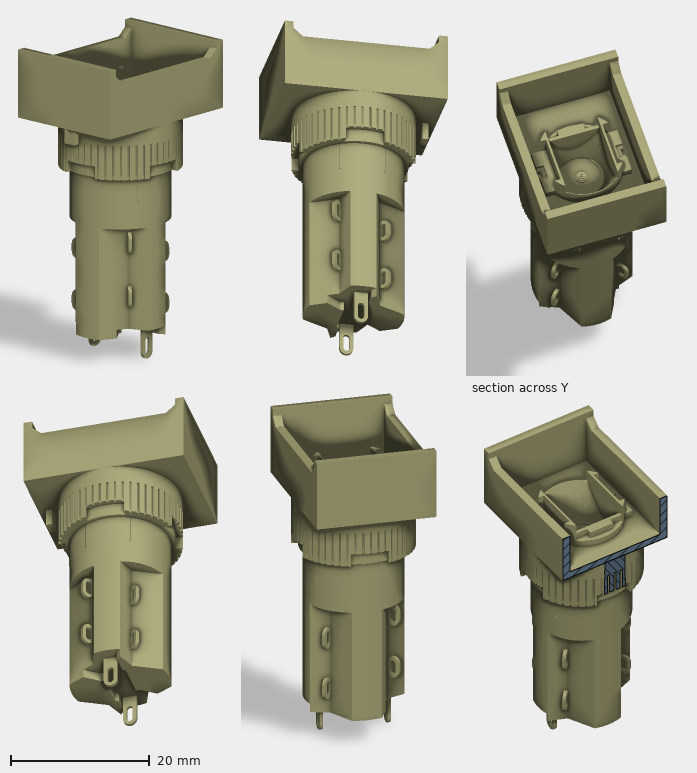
import cadquery as cq
import math

TOTAL_HEIGHT = 45.9
BASE_Z = 3.55
BASE_RECESS_Z = 4.8
BLOCK_TOP_Z = 20.25
RING_BOTTOM_Z = 28.0
RING_NOTCH_TOP_Z = 29.9
KNURL_TOP_Z = 33.15
BEZEL_BOTTOM_Z = 35.7
BEZEL_FLOOR_Z = 36.9
SIDE_WALL_TOP_Z = 43.6
SIDE_WALL_END_Z = 44.85

BEZEL_X = 18.0
BEZEL_Y = 24.0
WALL = 1.3
WALL_RAMP = 1.38
KEY_X = 1.95
KEY_Y = 0.9
KEY_CENTER_Y = -10.4

SOCKET_RADIUS = 6.2
SOCKET_TOP_Z = 39.2
SHELF_TOP_Z = 38.1
CHEEK_TOP_Z = 40.95
CHEEK_INNER_X = 3.95
CHEEK_OUTER_X = 4.25
REAR_WALL_Y = -4.0
REAR_WALL_THICKNESS = 0.5
TAB_X = 3.95
TAB_Y = 0.9
CLIP_OUTER_X = 6.5
CLIP_Y = 6.9
CLIP_MOUTH_X = 0.45
CLIP_MOUTH_Y = 1.0
CLIP_POCKET_X = 1.1
CLIP_POCKET_Y = 2.15
CLIP_POCKET_DEPTH = 0.45

REFLECTOR_TOP_RADIUS = 6.1
REFLECTOR_BOTTOM_RADIUS = 3.25
REFLECTOR_BOTTOM_Z = 33.7
LEDGE_INNER_RADIUS = 3.0
LEDGE_DEPTH = 0.25
LEDGE_GAP_X = 4.15
LAMP_TIER_RADII = (0.85, 0.7, 0.5, 0.3)
LAMP_TIER_HEIGHT = 0.25
LAMP_BORE_RADIUS = 0.15

BARREL_RADIUS = 7.35
LOBE_HALF_Y = 1.95
LOBE_HALF_X = 2.25
LOBE_EDGE_X = math.sqrt(BARREL_RADIUS**2 - LOBE_HALF_Y**2)
LOBE_EDGE_Y = math.sqrt(BARREL_RADIUS**2 - LOBE_HALF_X**2)
CORNER_X = 4.3
CORNER_Y = 3.0
SLIT_Y = 3.4
SLIT_WIDTH = 0.1
SLIT_FOOT = 0.25
SLIT_BOTTOM_Z = 23.95
SLIT_DEPTH = 0.25

CHANNEL_HALF_Y = 1.35
CHANNEL_FLARE_X = 6.43
CHANNEL_NARROW_X = 3.8
CHANNEL_WIDE_X = 3.4
CHANNEL_WIDE_HALF_Y = 1.8
POCKET_X = 1.85
POCKET_Y = 2.4
POCKET_MOUTH_X = 3.5
POCKET_MOUTH_Y = 4.6

TERMINAL_WIDTH = 2.0
TERMINAL_THICKNESS = 0.5
TERMINAL_SLOT_WIDTH = 0.9
TERMINAL_RIM = (TERMINAL_WIDTH - TERMINAL_SLOT_WIDTH) / 2
BOTTOM_TERMINAL_X = 5.1
BOTTOM_SLOT_LENGTH = 2.55
SIDE_TERMINAL_LENGTH = 3.2
SIDE_TERMINAL_X = 5.0
SIDE_TERMINAL_Y = 3.45
LOW_TERMINAL_HEIGHTS = (7.57, 15.35)
HIGH_TERMINAL_HEIGHTS = (9.8, 17.85)

RING_RADIUS = BEZEL_X / 2
KNURL_COUNT = 50
KNURL_WIDTH = 0.3
KNURL_DEPTH = 0.3
NOTCH_WIDTH = 5.7
NOTCH_FLOOR_RADIUS = 8.0

CUT_MARGIN = 0.45


def block(x0, x1, y0, y1, z0, z1):
    """Box between two opposite corners."""
    return cq.Workplane("XY").box(x1 - x0, y1 - y0, z1 - z0, centered=False).translate((x0, y0, z0))


def disc(radius, z0, z1):
    """Upright cylinder on the Z axis."""
    return cq.Workplane("XY").workplane(offset=z0).circle(radius).extrude(z1 - z0)


def both_sides(shape):
    """The shape together with its copy turned half a turn about Z."""
    return shape.union(shape.rotate((0, 0, 0), (0, 0, 1), 180))


def bezel():
    """Open rectangular tray with lowered side walls and an anti-rotation key."""
    half_x = BEZEL_X / 2
    half_y = BEZEL_Y / 2
    inner_y = half_y - WALL
    tray = block(-half_x, half_x, -half_y, half_y, BEZEL_BOTTOM_Z, TOTAL_HEIGHT)
    tray = tray.cut(block(WALL - half_x, half_x - WALL, -inner_y, inner_y, BEZEL_FLOOR_Z, TOTAL_HEIGHT))
    side_opening = (
        cq.Workplane("YZ")
        .polyline([
            (-inner_y, TOTAL_HEIGHT),
            (-inner_y, SIDE_WALL_END_Z),
            (WALL_RAMP - inner_y, SIDE_WALL_TOP_Z),
            (inner_y - WALL_RAMP, SIDE_WALL_TOP_Z),
            (inner_y, SIDE_WALL_END_Z),
            (inner_y, TOTAL_HEIGHT),
        ])
        .close()
        .extrude(half_x, both=True)
    )
    key = block(
        -KEY_X / 2, KEY_X / 2,
        KEY_CENTER_Y - KEY_Y / 2, KEY_CENTER_Y + KEY_Y / 2,
        KNURL_TOP_Z, BEZEL_BOTTOM_Z,
    )
    return tray.cut(side_opening).union(key)


def clip():
    """Clip block beside the socket on its +X side, with a stepped notch in its outer edge."""
    half_y = CLIP_Y / 2
    body = block(CHEEK_OUTER_X, CLIP_OUTER_X, -half_y, half_y, BEZEL_FLOOR_Z, SHELF_TOP_Z)
    mouth = block(
        CLIP_OUTER_X - CLIP_MOUTH_X, CLIP_OUTER_X,
        -CLIP_MOUTH_Y / 2, CLIP_MOUTH_Y / 2,
        BEZEL_FLOOR_Z, SHELF_TOP_Z,
    )
    pocket = block(
        CLIP_OUTER_X - CLIP_POCKET_X, CLIP_OUTER_X,
        -CLIP_POCKET_Y / 2, CLIP_POCKET_Y / 2,
        SHELF_TOP_Z - CLIP_POCKET_DEPTH, SHELF_TOP_Z,
    )
    return body.cut(mouth).cut(pocket)


def socket():
    """Round socket with raised cheeks, a stepped rear wall and two clips."""
    radius = SOCKET_RADIUS
    rear_y = REAR_WALL_Y - REAR_WALL_THICKNESS
    drum = disc(radius, BEZEL_FLOOR_Z, SOCKET_TOP_Z)
    rear = block(-radius, radius, -radius, rear_y, SHELF_TOP_Z, SOCKET_TOP_Z)
    tab = block(-TAB_X / 2, TAB_X / 2, rear_y - TAB_Y, rear_y, SHELF_TOP_Z, SOCKET_TOP_Z)
    drum = drum.cut(rear.cut(tab))
    cheek = disc(radius, BEZEL_FLOOR_Z, CHEEK_TOP_Z).intersect(
        block(CHEEK_INNER_X, radius, -radius, radius, BEZEL_FLOOR_Z, CHEEK_TOP_Z)
    )
    clip_space = block(CHEEK_OUTER_X, radius, -CLIP_Y / 2, CLIP_Y / 2, BEZEL_FLOOR_Z, CHEEK_TOP_Z)
    drum = drum.cut(both_sides(clip_space))
    return drum.union(both_sides(cheek.cut(clip_space))).union(both_sides(clip()))


def reflector_cavity():
    """Conical well trimmed flat by the cheeks and the rear wall, with a stepped floor."""
    cone = (
        cq.Workplane("XZ")
        .polyline([
            (0, REFLECTOR_BOTTOM_Z),
            (REFLECTOR_BOTTOM_RADIUS, REFLECTOR_BOTTOM_Z),
            (REFLECTOR_TOP_RADIUS, SOCKET_TOP_Z),
            (0, SOCKET_TOP_Z),
        ])
        .close()
        .revolve(360, (0, 0, 0), (0, 1, 0))
    )
    trim = block(
        -CHEEK_INNER_X, CHEEK_INNER_X,
        REAR_WALL_Y, REFLECTOR_TOP_RADIUS,
        REFLECTOR_BOTTOM_Z, SOCKET_TOP_Z,
    )
    floor_z = REFLECTOR_BOTTOM_Z - LEDGE_DEPTH
    ledge_gap = disc(REFLECTOR_BOTTOM_RADIUS, floor_z, REFLECTOR_BOTTOM_Z).intersect(
        block(-LEDGE_GAP_X / 2, LEDGE_GAP_X / 2, -REFLECTOR_BOTTOM_RADIUS, 0, floor_z, REFLECTOR_BOTTOM_Z)
    )
    return cone.intersect(trim).union(disc(LEDGE_INNER_RADIUS, floor_z, REFLECTOR_BOTTOM_Z)).union(ledge_gap)


def lamp():
    """Small tiered, bored post in the middle of the reflector floor."""
    floor_z = REFLECTOR_BOTTOM_Z - LEDGE_DEPTH
    post = disc(LAMP_TIER_RADII[0], floor_z, floor_z + LAMP_TIER_HEIGHT)
    for tier, radius in enumerate(LAMP_TIER_RADII[1:], start=2):
        post = post.union(disc(radius, floor_z, floor_z + tier * LAMP_TIER_HEIGHT))
    return post.cut(disc(LAMP_BORE_RADIUS, floor_z, floor_z + len(LAMP_TIER_RADII) * LAMP_TIER_HEIGHT))


def latch_slit(side):
    """L-shaped cutter on the +X side; its foot points towards the X axis."""
    slit_y = side * SLIT_Y
    foot_y = side * (SLIT_Y - SLIT_FOOT / 2)
    half_width = SLIT_WIDTH / 2
    half_foot = SLIT_FOOT / 2
    foot_top_z = SLIT_BOTTOM_Z + SLIT_WIDTH
    stem = block(0, BARREL_RADIUS, slit_y - half_width, slit_y + half_width, SLIT_BOTTOM_Z, RING_BOTTOM_Z)
    foot = block(0, BARREL_RADIUS, foot_y - half_foot, foot_y + half_foot, SLIT_BOTTOM_Z, foot_top_z)
    core = disc(BARREL_RADIUS - SLIT_DEPTH, SLIT_BOTTOM_Z, RING_BOTTOM_Z)
    return stem.union(foot).cut(core)


def barrel():
    """Round barrel with a pair of shallow latch slits on each of its +X and -X sides."""
    body = disc(BARREL_RADIUS, BLOCK_TOP_Z, BEZEL_BOTTOM_Z)
    for side in (1, -1):
        body = body.cut(both_sides(latch_slit(side)))
    return body


def base_recess():
    """Through channel along X, opened towards the (-X, +Y) and (+X, -Y) flutes."""
    outside_x = BARREL_RADIUS + CUT_MARGIN
    half_outline = [
        (outside_x, LOBE_HALF_Y),
        (LOBE_EDGE_X, LOBE_HALF_Y),
        (CHANNEL_FLARE_X, CHANNEL_HALF_Y),
        (CHANNEL_NARROW_X, CHANNEL_HALF_Y),
        (CHANNEL_WIDE_X, CHANNEL_WIDE_HALF_Y),
        (-POCKET_X, CHANNEL_WIDE_HALF_Y),
        (-POCKET_X, POCKET_Y),
        (-POCKET_MOUTH_X, POCKET_MOUTH_Y),
        (-outside_x, POCKET_MOUTH_Y),
    ]
    outline = half_outline + [(-x, -y) for x, y in half_outline]
    depth = BASE_RECESS_Z - BASE_Z
    return cq.Workplane("XY").workplane(offset=BASE_Z).polyline(outline).close().extrude(depth)


def contact_block():
    """Four-lobed block: a cylinder with a V-shaped flute in each diagonal corner."""
    height = BLOCK_TOP_Z - BASE_Z
    body = disc(BARREL_RADIUS, BASE_Z, BLOCK_TOP_Z)
    flute_outline = [
        (CORNER_X, CORNER_Y),
        (LOBE_EDGE_X, LOBE_HALF_Y),
        (BARREL_RADIUS, LOBE_HALF_Y),
        (BARREL_RADIUS, BARREL_RADIUS),
        (LOBE_HALF_X, BARREL_RADIUS),
        (LOBE_HALF_X, LOBE_EDGE_Y),
    ]
    for sx in (1, -1):
        for sy in (1, -1):
            points = [(sx * x, sy * y) for x, y in flute_outline]
            flute = cq.Workplane("XY").workplane(offset=BASE_Z).polyline(points).close().extrude(height)
            body = body.cut(flute)
    return body.cut(base_recess())


def bottom_terminal():
    """Tongue in the YZ plane with a rounded, slotted lower end at Z = 0."""
    radius = TERMINAL_WIDTH / 2
    slot_center_z = TERMINAL_RIM + BOTTOM_SLOT_LENGTH / 2
    return (
        cq.Workplane("YZ")
        .moveTo(-radius, BASE_RECESS_Z)
        .lineTo(-radius, radius)
        .threePointArc((0, 0), (radius, radius))
        .lineTo(radius, BASE_RECESS_Z)
        .close()
        .moveTo(0, slot_center_z)
        .slot2D(BOTTOM_SLOT_LENGTH, TERMINAL_SLOT_WIDTH, 90)
        .extrude(TERMINAL_THICKNESS / 2, both=True)
    )


def side_terminal():
    """Upright oblong loop in the YZ plane, centred on the origin."""
    return (
        cq.Workplane("YZ")
        .slot2D(SIDE_TERMINAL_LENGTH, TERMINAL_WIDTH, 90)
        .slot2D(SIDE_TERMINAL_LENGTH - 2 * TERMINAL_RIM, TERMINAL_SLOT_WIDTH, 90)
        .extrude(TERMINAL_THICKNESS / 2, both=True)
    )


def switch_housing():
    """Bezel, socket, barrel, contact block and terminals as one solid."""
    body = bezel().union(socket()).union(barrel()).union(contact_block())
    body = body.cut(reflector_cavity()).union(lamp())
    for side in (1, -1):
        body = body.union(bottom_terminal().translate((side * BOTTOM_TERMINAL_X, 0, 0)))
    for sx in (1, -1):
        for sy in (1, -1):
            heights = LOW_TERMINAL_HEIGHTS if sx == sy else HIGH_TERMINAL_HEIGHTS
            loop = side_terminal().rotate((0, 0, 0), (0, 0, 1), -45 * sx * sy)
            for z in heights:
                body = body.union(loop.translate((sx * SIDE_TERMINAL_X, sy * SIDE_TERMINAL_Y, z)))
    return body


def locking_ring():
    """Knurled ring around the barrel, with four notches in its lower edge."""
    ring = disc(RING_RADIUS, RING_BOTTOM_Z, BEZEL_BOTTOM_Z)
    groove = block(
        -KNURL_WIDTH / 2, KNURL_WIDTH / 2,
        -RING_RADIUS - CUT_MARGIN, KNURL_DEPTH - RING_RADIUS,
        RING_BOTTOM_Z, KNURL_TOP_Z,
    )
    grooves = [
        groove.rotate((0, 0, 0), (0, 0, 1), i * 360 / KNURL_COUNT).val() for i in range(KNURL_COUNT)
    ]
    ring = ring.cut(cq.Workplane(cq.Compound.makeCompound(grooves)))
    half = NOTCH_WIDTH / 2
    bar_x = block(-RING_RADIUS, RING_RADIUS, -half, half, RING_BOTTOM_Z, RING_NOTCH_TOP_Z)
    bar_y = block(-half, half, -RING_RADIUS, RING_RADIUS, RING_BOTTOM_Z, RING_NOTCH_TOP_Z)
    notches = bar_x.union(bar_y).cut(disc(NOTCH_FLOOR_RADIUS, RING_BOTTOM_Z, RING_NOTCH_TOP_Z))
    return ring.cut(notches).cut(disc(BARREL_RADIUS, RING_BOTTOM_Z, BEZEL_BOTTOM_Z))


housing = switch_housing()
ring = locking_ring()
result = cq.Compound.makeCompound([housing.solids().val(), ring.solids().val()])